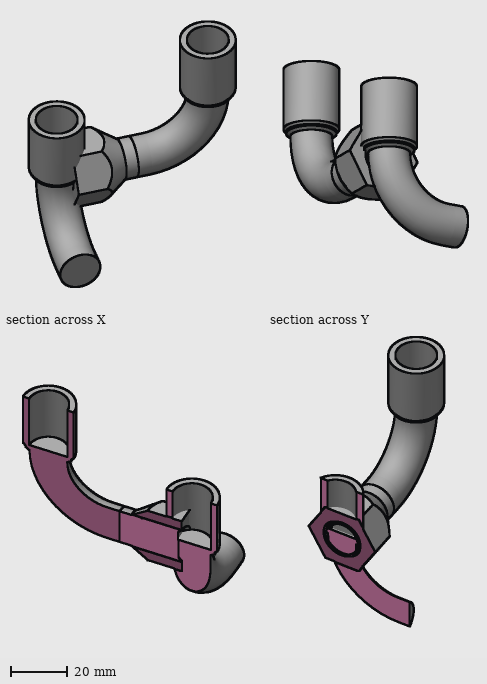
import cadquery as cq
import math

overall_height = 78.6
overall_depth = 76.3

pipe_diameter = 15.0
pipe_radius = pipe_diameter / 2
bend_radius = 23.0
spigot_length = 5.0
cup_diameter = 20.0
cup_radius = cup_diameter / 2
band_radius = 18.0 / 2
shoulder_height = 1.0
band_height = 0.6
cup_bore_diameter = 14.9

cup_height = overall_height - pipe_radius - 2 * bend_radius
cup_bore_depth = cup_height - 2 * shoulder_height - band_height
upper_cup_y = overall_depth - cup_diameter
upper_spigot_end_y = upper_cup_y - bend_radius - spigot_length

union_axis_z = bend_radius
nut_front_y = 3.9
nut_length = 19.8
nut_across_flats = 24.0
nut_corner_diameter = nut_across_flats / math.cos(math.radians(30))
nut_cone_slope = math.tan(math.radians(35))
seat_small_diameter = 12.0
seat_depth = (pipe_diameter - seat_small_diameter) / 2


def make_elbow():
    """Elbow with its cup on the Z axis and its spigot pointing along +X at z = 0."""
    bend = (
        cq.Workplane("XY", origin=(0, 0, bend_radius))
        .circle(pipe_radius)
        .revolve(90, (bend_radius, 0, 0), (bend_radius, -1, 0))
    )
    spigot = cq.Workplane("YZ", origin=(bend_radius, 0, 0)).circle(pipe_radius).extrude(spigot_length)

    band_bottom = bend_radius + shoulder_height
    band_top = band_bottom + band_height
    wall_bottom = band_top + shoulder_height
    cup_top = bend_radius + cup_height
    cup = (
        cq.Workplane("XZ")
        .moveTo(0, bend_radius)
        .lineTo(pipe_radius, bend_radius)
        .lineTo(band_radius, band_bottom)
        .lineTo(band_radius, band_top)
        .lineTo(cup_radius, wall_bottom)
        .lineTo(cup_radius, cup_top)
        .lineTo(0, cup_top)
        .close()
        .revolve(360, (0, 0, 0), (0, 1, 0))
    )
    bore = (
        cq.Workplane("XY", origin=(0, 0, cup_top))
        .circle(cup_bore_diameter / 2)
        .extrude(-cup_bore_depth)
    )
    return bend.union(spigot).union(cup).cut(bore)


def union_workplane(y):
    """Plane on the union axis whose normal points along +Y."""
    return cq.Workplane(cq.Plane(origin=(0, y, union_axis_z), xDir=(1, 0, 0), normal=(0, 1, 0)))


def make_nut():
    """Hexagonal nut whose back tapers as a cone down to the tailpiece."""
    hexagon = union_workplane(nut_front_y).polygon(6, nut_corner_diameter).extrude(nut_length)

    front_radius = pipe_radius + nut_length * nut_cone_slope
    cone = cq.Workplane(
        cq.Solid.makeCone(
            front_radius,
            pipe_radius,
            nut_length,
            cq.Vector(0, nut_front_y, union_axis_z),
            cq.Vector(0, 1, 0),
        )
    )
    passage = union_workplane(nut_front_y).circle(pipe_radius).extrude(nut_length)
    return hexagon.intersect(cone).cut(passage)


def make_tailpiece():
    """Round tailpiece from the nut's front face to the upper spigot, with a conical seat."""
    tail = union_workplane(nut_front_y).circle(pipe_radius).extrude(upper_spigot_end_y - nut_front_y)
    seat = cq.Workplane(
        cq.Solid.makeCone(
            pipe_radius,
            seat_small_diameter / 2,
            seat_depth,
            cq.Vector(0, nut_front_y, union_axis_z),
            cq.Vector(0, 1, 0),
        )
    )
    return tail.cut(seat)


elbow_placements = [
    ((0, 0, 0), 0),
    ((0, upper_cup_y, bend_radius), -90),
]
elbows = []
for position, turn in elbow_placements:
    elbow = make_elbow().rotate((0, 0, 0), (0, 0, 1), turn).translate(position)
    elbows.append(elbow.val())

nut = make_nut()
tailpiece = make_tailpiece()

result = cq.Compound.makeCompound([*elbows, nut.val(), tailpiece.val()])